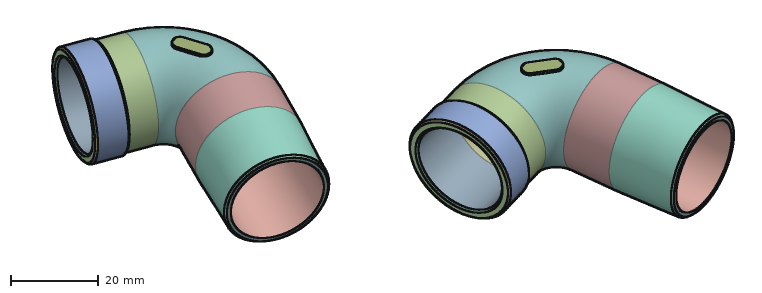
import cadquery as cq
import math

pipe_diameter = 26.9
bore_diameter = 22.9
collar_diameter = 27.9
socket_leg = 32.0
spigot_leg = 46.0
bend_radius = 16.4
edge_chamfer = 0.5

collar_length = 8.0
spigot_straight = 12.5
spigot_end_diameter = 25.9

badge_length = 9.6
badge_width = 3.6
badge_top = 13.85
badge_depth = 2.0
badge_draft = 20.0
badge_angle = 45.0

pipe_radius = pipe_diameter / 2
bore_radius = bore_diameter / 2
collar_radius = collar_diameter / 2
spigot_end_radius = spigot_end_diameter / 2


def bend(radius):
    """Quarter torus joining the two legs."""
    return (
        cq.Workplane("XZ", origin=(0, -bend_radius, 0))
        .circle(radius)
        .revolve(90, (bend_radius, 1, 0), (bend_radius, 0, 0))
    )


def socket_outside():
    """Straight pipe with a chamfered collar at its mouth, along -Y."""
    collar_start = -socket_leg + collar_length
    step_start = collar_start + collar_radius - pipe_radius
    return (
        cq.Workplane("XY")
        .moveTo(0, -bend_radius)
        .lineTo(pipe_radius, -bend_radius)
        .lineTo(pipe_radius, step_start)
        .lineTo(collar_radius, collar_start)
        .lineTo(collar_radius, -socket_leg + edge_chamfer)
        .lineTo(collar_radius - edge_chamfer, -socket_leg)
        .lineTo(0, -socket_leg)
        .close()
        .revolve(360, (0, 0, 0), (0, 1, 0))
    )


def spigot_outside():
    """Straight pipe along +X whose end narrows as a slight cone to a chamfered tip."""
    taper_start = bend_radius + spigot_straight
    taper_end = spigot_leg - edge_chamfer
    return (
        cq.Workplane("XY")
        .moveTo(bend_radius, 0)
        .lineTo(bend_radius, pipe_radius)
        .lineTo(taper_start, pipe_radius)
        .lineTo(taper_end, spigot_end_radius)
        .lineTo(spigot_leg, spigot_end_radius - edge_chamfer)
        .lineTo(spigot_leg, 0)
        .close()
        .revolve(360, (0, 0, 0), (1, 0, 0))
    )


def badge():
    """Flat oblong pad with drafted sides, on the crown of the bend and along its diagonal."""
    crown_offset = bend_radius * (1 - math.cos(math.radians(badge_angle)))
    return (
        cq.Workplane("XY", origin=(crown_offset, -crown_offset, badge_top))
        .transformed(rotate=(0, 0, badge_angle))
        .slot2D(badge_length, badge_width)
        .extrude(-badge_depth, taper=-badge_draft)
    )


def passage():
    """Constant bore through both legs, chamfered at the socket mouth."""
    socket_bore = (
        cq.Workplane("XY")
        .moveTo(0, -bend_radius)
        .lineTo(bore_radius, -bend_radius)
        .lineTo(bore_radius, -socket_leg + edge_chamfer)
        .lineTo(bore_radius + edge_chamfer, -socket_leg)
        .lineTo(0, -socket_leg)
        .close()
        .revolve(360, (0, 0, 0), (0, 1, 0))
    )
    spigot_bore = (
        cq.Workplane("YZ", origin=(bend_radius, 0, 0))
        .circle(bore_radius)
        .extrude(spigot_leg - bend_radius)
    )
    return bend(bore_radius).union(socket_bore).union(spigot_bore)


outside = bend(pipe_radius).union(socket_outside()).union(spigot_outside()).union(badge())
result = outside.cut(passage())